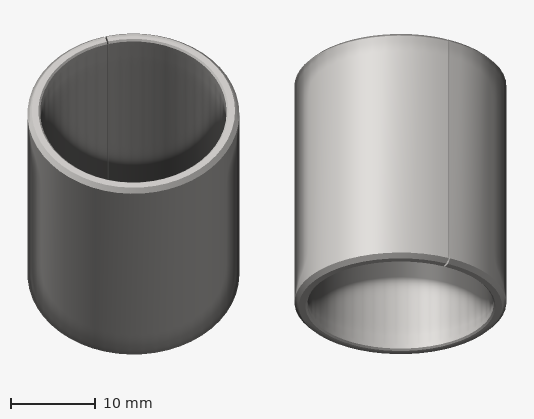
import cadquery as cq

length = 30.0
outer_diameter = 25.0
wall = 1.5
outer_chamfer = 0.5
inner_chamfer = 0.2
gap_angle = 1.0

outer_radius = outer_diameter / 2
inner_radius = outer_radius - wall

wall_section = [
    (-inner_radius, inner_chamfer),
    (-inner_radius - inner_chamfer, 0),
    (-outer_radius + outer_chamfer, 0),
    (-outer_radius, outer_chamfer),
    (-outer_radius, length - outer_chamfer),
    (-outer_radius + outer_chamfer, length),
    (-inner_radius - inner_chamfer, length),
    (-inner_radius, length - inner_chamfer),
]

result = (
    cq.Workplane("XZ")
    .polyline(wall_section)
    .close()
    .revolve(360 - gap_angle, (0, 0), (0, 1))
)